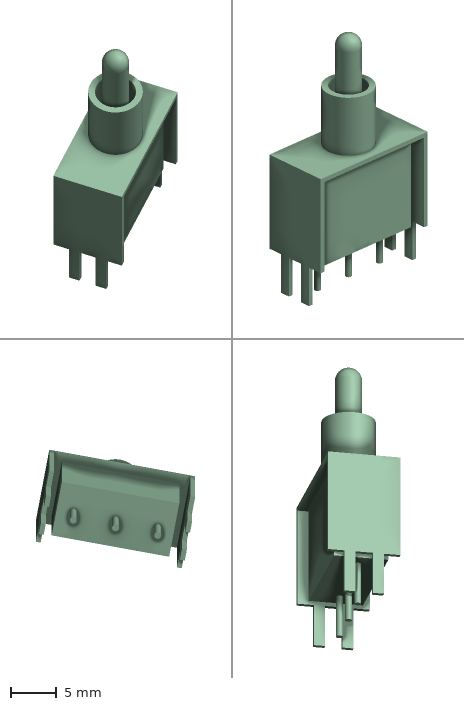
import cadquery as cq

width = 8.12
bracket_length = 16.25
sheet = 0.55
total_height = 29.95

body_bottom = 4.75
bracket_top = 16.38
bushing_top = 23.55

body_length = 13.1
body_width = 6.08

leg_width = 1.25
leg_spacing = 3.17

pin_diameter = 0.75
pin_pitch = 4.7

bushing_diameter = 6.0
bore_diameter = 4.5
plunger_diameter = 3.0


def block(x_size, y_size, bottom, top, x=0, y=0):
    """Box centred on (x, y) between two levels."""
    box = cq.Workplane("XY").box(x_size, y_size, top - bottom, centered=(True, True, False))
    return box.translate((x, y, bottom))


def cylinder(diameter, bottom, top, y=0):
    """Upright cylinder on the X = 0 plane between two levels."""
    return cq.Workplane("XY", origin=(0, y, bottom)).circle(diameter / 2).extrude(top - bottom)


bracket_underside = bracket_top - sheet
wall_y = (bracket_length - sheet) / 2
result = block(width, bracket_length, bracket_underside, bracket_top)
result = result.union(block(body_width, body_length, body_bottom, bracket_underside))
for side in (-1, 1):
    result = result.union(block(width, sheet, body_bottom, bracket_top, y=side * wall_y))
    for leg_x in (-leg_spacing / 2, leg_spacing / 2):
        leg = block(leg_width, sheet, 0, body_bottom, x=leg_x, y=side * wall_y)
        result = result.union(leg)

for pin_index in (-1, 0, 1):
    result = result.union(cylinder(pin_diameter, 0, body_bottom, y=pin_index * pin_pitch))

bushing = cylinder(bushing_diameter, bracket_top, bushing_top)
bore = cylinder(bore_diameter, bracket_top, bushing_top)
result = result.union(bushing.cut(bore))

plunger_radius = plunger_diameter / 2
dome_base = total_height - plunger_radius
dome = cq.Workplane("XY").sphere(plunger_radius).translate((0, 0, dome_base))
result = result.union(cylinder(plunger_diameter, bracket_top, dome_base).union(dome))